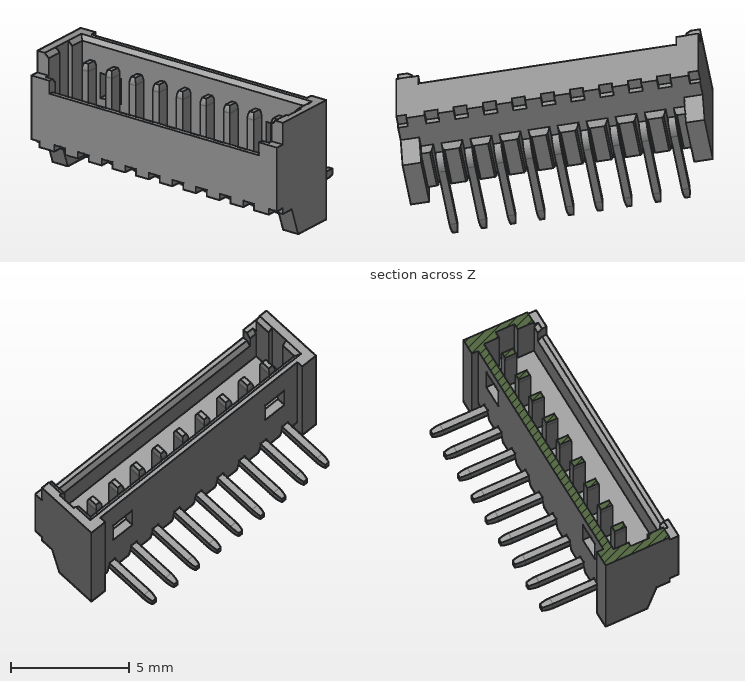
import cadquery as cq


length = 13.0
height = 5.5
half_length = length / 2
rear_pad_y = 3.5
rear_face_y = 3.2
pad_width = 0.8
body_bottom_z = 1.3
foot_top_y = 1.05
foot_bottom_y = 1.5

end_wall = 0.6
front_wall = 0.42
cavity_rear_y = 2.8
floor_z = 2.5
lead_in = 0.2

shoulder_z = 4.5
slot_z = 3.9
slot_margin = 0.95

key_y_min = 1.2
key_width = 0.88
left_key_wall = 0.4
right_key_wall = 0.3

notch_depth = front_wall
pin_notch_width = 0.57
pin_notch_height = 0.3
corner_notch_width = 0.43
corner_notch_height = 0.26

pin_count = 9
pitch = 1.25
pin_width = 0.33
blade_front_y = 1.8
blade_depth = 0.57
blade_top_z = 4.8
tail_bottom_z = 0.9
tail_thickness = 0.35
tail_end_y = 5.8
bend_radius = 0.85
blade_tip_length = 0.3
tail_tip_length = 0.48
tip_inset_x = 0.06
blade_tip_inset = 0.08
tail_tip_inset = 0.05

window_center_x = 4.4
window_width = 1.1
window_bottom_z = 2.9
window_top_z = 4.05

rib_front_y = foot_bottom_y
rib_bottom_z = 0.7
gap_root_width = 0.34
gap_width = 0.5
gap_mouth_width = 0.64
gap_flare = 0.1

pin_positions = [(i - (pin_count - 1) / 2) * pitch for i in range(pin_count)]


def box(x_min, x_max, y_min, y_max, z_min, z_max):
    """Axis-aligned block given by its limits."""
    size = (x_max - x_min, y_max - y_min, z_max - z_min)
    return cq.Workplane("XY").box(*size, centered=False).translate((x_min, y_min, z_min))


def extrude_along_x(profile, x_min, x_max):
    """Extrude a YZ profile between two X positions."""
    return profile.extrude(x_max - x_min).translate((x_min, 0, 0))


def housing_blank():
    """Outer block with sloped feet, end pads and the stepped front wall."""
    side = (
        cq.Workplane("YZ")
        .moveTo(foot_bottom_y, 0)
        .lineTo(rear_pad_y, 0)
        .lineTo(rear_pad_y, height)
        .lineTo(front_wall, height)
        .lineTo(front_wall, shoulder_z)
        .lineTo(0, shoulder_z)
        .lineTo(0, body_bottom_z)
        .lineTo(foot_top_y, body_bottom_z)
        .close()
    )
    blank = extrude_along_x(side, -half_length, half_length)
    middle = half_length - pad_width
    blank = blank.cut(box(-middle, middle, rear_face_y, rear_pad_y, 0, height))
    return blank.cut(box(-middle, middle, 0, rear_pad_y, 0, body_bottom_z))


def cavity():
    """Mating cavity, open through the front above the front wall."""
    half = half_length - end_wall
    slot_half = half_length - slot_margin
    pocket = box(-half, half, front_wall, cavity_rear_y, floor_z, height)
    opening = box(-half, half, 0, front_wall, shoulder_z, height)
    slot = box(-slot_half, slot_half, 0, front_wall, slot_z, height)
    return pocket.union(opening).union(slot)


def mouth_chamfer():
    """Lead-in along the top of the rear and end walls, mitred at the rear corners."""
    mouth_length = length - 2 * (end_wall - lead_in)
    mouth_depth = 2 * (cavity_rear_y + lead_in)
    return (
        cq.Workplane("XY", origin=(0, 0, height))
        .rect(mouth_length, mouth_depth)
        .workplane(offset=-lead_in)
        .rect(mouth_length - 2 * lead_in, mouth_depth - 2 * lead_in)
        .loft(ruled=True)
    )


def front_wall_chamfer(half_span, top_z):
    """Lead-in wedge on the inner top edge of the front wall."""
    wedge = (
        cq.Workplane("YZ")
        .moveTo(front_wall - lead_in, top_z)
        .lineTo(front_wall, top_z)
        .lineTo(front_wall, top_z - lead_in)
        .close()
    )
    return extrude_along_x(wedge, -half_span, half_span)


def key_grooves():
    """One vertical groove in each end wall; the right one is deeper."""
    inner = half_length - end_wall
    y_max = key_y_min + key_width
    left = box(left_key_wall - half_length, -inner, key_y_min, y_max, floor_z, height)
    right = box(inner, half_length - right_key_wall, key_y_min, y_max, floor_z, height)
    return left.union(right)


def windows():
    """Rear wall windows, one toward each end of the pin row."""
    inner = window_center_x - window_width / 2
    outer = window_center_x + window_width / 2
    right = box(inner, outer, cavity_rear_y, rear_face_y, window_bottom_z, window_top_z)
    return right.union(right.mirror("YZ"))


def bottom_notches():
    """Notch below every pin and at both ends of the bottom front edge."""
    half = pin_notch_width / 2
    corner_top = body_bottom_z + corner_notch_height
    corner = box(half_length - corner_notch_width, half_length, 0, notch_depth, body_bottom_z, corner_top)
    notches = corner.union(corner.mirror("YZ"))
    pin_top = body_bottom_z + pin_notch_height
    for x in pin_positions:
        notches = notches.union(box(x - half, x + half, 0, notch_depth, body_bottom_z, pin_top))
    return notches


def tail_gap(x):
    """Flared gap between two ribs, around the pin at x."""
    flare_z = rib_bottom_z + gap_flare
    return (
        cq.Workplane("XZ", origin=(x, rear_face_y, 0))
        .moveTo(-gap_mouth_width / 2, rib_bottom_z)
        .lineTo(-gap_width / 2, flare_z)
        .lineTo(-gap_root_width / 2, body_bottom_z)
        .lineTo(gap_root_width / 2, body_bottom_z)
        .lineTo(gap_width / 2, flare_z)
        .lineTo(gap_mouth_width / 2, rib_bottom_z)
        .close()
        .extrude(rear_face_y - rib_front_y)
    )


def ribs():
    """Row of ribs between the feet, with a gap for every pin tail."""
    half = half_length - pad_width
    row = box(-half, half, rib_front_y, rear_face_y, rib_bottom_z, body_bottom_z)
    for x in pin_positions:
        row = row.cut(tail_gap(x))
    return row


def tapered_profile(plane, width, inset, total_length, tip_length, thickness):
    """Bar along Z whose two sides curve in tangentially by the inset over the tip."""
    half = width / 2
    return (
        cq.Workplane(plane)
        .lineTo(half, 0)
        .lineTo(half, total_length - tip_length)
        .tangentArcPoint((half - inset, total_length), relative=False)
        .lineTo(0, total_length)
        .mirrorY()
        .extrude(thickness / 2, both=True)
    )


def tipped_bar(depth, depth_inset, total_length, tip_length):
    """Upright pin bar, centred on Z, with its tip narrowed in both directions."""
    across = tapered_profile("XZ", pin_width, tip_inset_x, total_length, tip_length, depth)
    along = tapered_profile("YZ", depth, depth_inset, total_length, tip_length, pin_width)
    return across.intersect(along)


def pin():
    """Bent pin: upright mating blade and horizontal solder tail, rounded outside the bend."""
    blade_length = blade_top_z - tail_bottom_z
    blade_y = blade_front_y + blade_depth / 2
    blade = tipped_bar(blade_depth, blade_tip_inset, blade_length, blade_tip_length)
    blade = blade.translate((0, blade_y, tail_bottom_z))
    tail_z = tail_bottom_z + tail_thickness / 2
    tail = tipped_bar(tail_thickness, tail_tip_inset, tail_end_y - blade_y, tail_tip_length)
    tail = tail.rotate((0, 0, 0), (1, 0, 0), -90).translate((0, blade_y, tail_z))
    return blade.union(tail).faces("<Z").edges("<Y").fillet(bend_radius)


housing = (
    housing_blank()
    .cut(cavity())
    .cut(mouth_chamfer())
    .cut(front_wall_chamfer(half_length - end_wall, shoulder_z))
    .cut(front_wall_chamfer(half_length - slot_margin, slot_z))
    .cut(key_grooves())
    .cut(windows())
    .cut(bottom_notches())
    .union(ribs())
)

result = housing
single_pin = pin()
for pin_x in pin_positions:
    result = result.union(single_pin.translate((pin_x, 0, 0)))